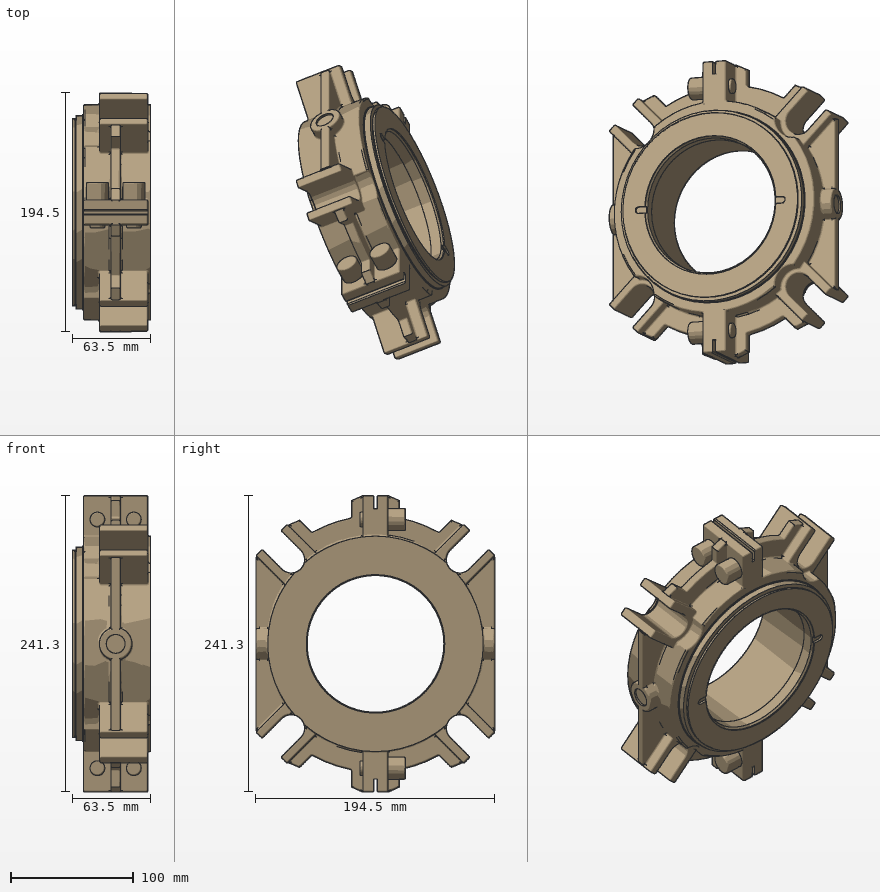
import cadquery as cq
import math

OVERALL_LENGTH = 63.5
OVERALL_WIDTH = 194.46
OVERALL_HEIGHT = 241.25

RING_FRONT_X = 8.9
RING_RADIUS = 87.6
LUG_BACK_X = 61.4

FACE_DISC_DIAMETER = 152.4
FACE_DISC_THICKNESS = 1.9
NECK_DIAMETER = 149.86
NECK_END_X = 2.9
FLANGE_DIAMETER = 157.48
LIP_HEIGHT = 0.7
LIP_START_X = 8.1
BORE_DIAMETER = 111.12
ENTRY_DIAMETER = 111.25
ENTRY_DEPTH = 11.5
COUNTERBORE_DIAMETER = 114.3
COUNTERBORE_DEPTH = 1.0
ENTRY_CONE_END_X = 2.6
EXIT_CHAMFER = 0.8
KEY_SLOT_WIDTH = 5.4
KEY_SLOT_TIP_RADIUS = 65.3
KEY_SLOT_DEPTH = 1.9

WEB_X = (RING_FRONT_X + LUG_BACK_X) / 2
WEB_THICKNESS = 8.0
WEB_RADIUS = 104.2
WEB_CORNER_Z = 70.4
WEB_CORNER_LAND = 3.0
SHOULDER_HALF_WIDTH = 19.4
SHOULDER_END_Z = 116.5

LUG_FRONT_X = 22.0
LUG_ROOT = 78.0
LUG_TIP = 119.5
LUG_STUB_TIP = 94.0
SLOT_RADIUS = 10.8
SLOT_CENTRE = 96.9
SCALLOP_RADIUS = 15.5
LUG_WEB_HALF_WIDTH = 27.5
LUG_WEB_TIP = 114.7
WEB_STEP = 1.0

BLOCK_HALF_WIDTH = 10.2
SLIT_WIDTH = 2.5
SLIT_DEPTH = 10.6
SLIT_CHAMFER = 1.0
SCREW_PITCH = 29.6
SCREW_Z = 101.1
SCREW_HEAD_DIAMETER = 18.0
SCREW_HEAD_END_Y = 24.4
SCREW_END_DIAMETER = 12.0
SCREW_END_Y = -12.7
SCREW_ROUND = 1.2

BOSS_DIAMETER = 26.5
BOSS_HOLE_DIAMETER = 15.34
BOSS_HOLE_DEPTH = 1.5

EDGE_ROUND = 1.5
TIP_ROUND = 1.0
ROOT_FILLET = 1.5
ROOT_REACH = 2 * ROOT_FILLET
NOTCH_FILLET = 1.5
LUG_ROOT_END = LUG_TIP - WEB_STEP - EDGE_ROUND
TOLERANCE = 0.01

HALF_WIDTH = OVERALL_WIDTH / 2
HALF_HEIGHT = OVERALL_HEIGHT / 2
LUG_HALF_WIDTH = HALF_WIDTH * math.sqrt(2) - LUG_TIP
DIAGONALS = (45, 135, 225, 315)
SIDES = (1, -1)


def section_at(x):
    """Workplane square to the pipe axis, with local axes Y and Z."""
    return cq.Workplane("YZ", origin=(x, 0, 0))


def disc(diameter, start_x, end_x):
    return section_at(start_x).circle(diameter / 2).extrude(end_x - start_x)


def slab(outline, start_x, end_x):
    return section_at(start_x).polyline(outline).close().extrude(end_x - start_x)


def on_diagonals(shape):
    """Copies of a shape built along +Y, turned onto all four diagonals."""
    copies = [shape.val().rotate((0, 0, 0), (1, 0, 0), angle) for angle in DIAGONALS]
    return cq.Workplane(cq.Compound.makeCompound(copies))


def slot_cutter(radius, start_x, end_x):
    reach = 2 * (LUG_TIP - SLOT_CENTRE)
    round_end = section_at(start_x).center(SLOT_CENTRE, 0).circle(radius)
    channel = section_at(start_x).center(SLOT_CENTRE + reach / 2, 0).rect(reach, 2 * radius)
    length = end_x - start_x
    return round_end.extrude(length).union(channel.extrude(length))


def rounded_ring():
    ring = disc(2 * RING_RADIUS, RING_FRONT_X, OVERALL_LENGTH)
    ring = ring.cut(on_diagonals(slot_cutter(SCALLOP_RADIUS, RING_FRONT_X, LUG_FRONT_X)))
    return ring.faces("<X").edges().fillet(EDGE_ROUND)


def lug_bar(tip):
    """Unslotted lug lying along +Y."""
    bar = section_at(LUG_FRONT_X).center((LUG_ROOT + tip) / 2, 0)
    return bar.rect(tip - LUG_ROOT, 2 * LUG_HALF_WIDTH).extrude(LUG_BACK_X - LUG_FRONT_X)


def is_ring_root(edge):
    """True for an edge on the outside of the ring: the foot of an attachment or a scallop corner."""
    ends = (edge.startPoint(), edge.endPoint())
    on_surface = all(abs(math.hypot(end.y, end.z) - RING_RADIUS) < TOLERANCE for end in ends)
    return on_surface and RING_FRONT_X + TOLERANCE < edge.Center().x < OVERALL_LENGTH - TOLERANCE


def make_ring():
    """Ring with the bosses and the stubs of the lugs and clamp blocks blended into it."""
    stub = lug_bar(LUG_STUB_TIP).edges("|Y").fillet(EDGE_ROUND)
    ring = rounded_ring().union(on_diagonals(stub)).union(make_blocks()).union(make_bosses())
    ring = ring.edges().filter(is_ring_root).fillet(ROOT_FILLET)
    clearance = on_diagonals(slot_cutter(SLOT_RADIUS + EDGE_ROUND, LUG_FRONT_X, LUG_BACK_X))
    back_slots = on_diagonals(slot_cutter(SLOT_RADIUS, LUG_BACK_X, OVERALL_LENGTH))
    return ring.cut(clearance, clean=False).cut(back_slots, clean=False)


def make_lugs():
    lug = lug_bar(LUG_TIP).cut(slot_cutter(SLOT_RADIUS, LUG_FRONT_X, LUG_BACK_X))
    lug = lug.faces(">Y").edges("|X").fillet(TIP_ROUND)
    lug = lug.faces("<X or >X").edges().fillet(EDGE_ROUND)
    return on_diagonals(lug)


def is_web_notch(edge):
    """True for the inside corners where the web rim meets a shoulder or a lug stiffener."""
    middle = edge.Center()
    on_rim = abs(math.hypot(middle.y, middle.z) - WEB_RADIUS) < TOLERANCE
    return on_rim and abs(middle.y) < abs(middle.z)


def make_web():
    start_x = WEB_X - WEB_THICKNESS / 2
    end_x = WEB_X + WEB_THICKNESS / 2
    web = disc(2 * WEB_RADIUS, start_x, end_x)
    corner_start_y = HALF_WIDTH - WEB_CORNER_LAND
    web_start = LUG_TIP - WEB_STEP
    for side in SIDES:
        web = web.union(slab(
            [
                (0, 0),
                (side * corner_start_y, WEB_CORNER_Z),
                (side * HALF_WIDTH, WEB_CORNER_Z),
                (side * HALF_WIDTH, -WEB_CORNER_Z),
                (side * corner_start_y, -WEB_CORNER_Z),
            ], start_x, end_x))
        web = web.union(slab(
            [
                (BLOCK_HALF_WIDTH, side * HALF_HEIGHT),
                (SHOULDER_HALF_WIDTH, side * SHOULDER_END_Z),
                (SHOULDER_HALF_WIDTH, 0),
                (-SHOULDER_HALF_WIDTH, 0),
                (-SHOULDER_HALF_WIDTH, side * SHOULDER_END_Z),
                (-BLOCK_HALF_WIDTH, side * HALF_HEIGHT),
            ], start_x, end_x))
    for angle in DIAGONALS:
        side = 1 if angle in (45, 225) else -1
        stiffener = slab(
            [
                (0, 0),
                (web_start, 0),
                (web_start, side * LUG_HALF_WIDTH),
                (LUG_WEB_TIP, side * LUG_WEB_HALF_WIDTH),
                (0, side * LUG_WEB_HALF_WIDTH),
            ], start_x, end_x)
        web = web.union(stiffener.rotate((0, 0, 0), (1, 0, 0), angle))
    limits = section_at(start_x).rect(OVERALL_WIDTH, OVERALL_HEIGHT).extrude(WEB_THICKNESS)
    web = web.intersect(limits)
    web = web.edges("|X").filter(is_web_notch).fillet(NOTCH_FILLET)
    web = web.cut(on_diagonals(slot_cutter(SLOT_RADIUS + EDGE_ROUND, start_x, end_x)))
    return web.faces("<X or >X").edges().fillet(EDGE_ROUND)


def root_section(start, wall):
    """Section of the web's foot on a wall at Z = wall, flared by a fillet along both faces."""
    half = WEB_THICKNESS / 2
    flare = half + ROOT_FILLET
    sag = ROOT_FILLET * (1 - math.sqrt(0.5))
    return (
        cq.Workplane("XZ", origin=(WEB_X, start, wall))
        .moveTo(-flare, 0)
        .threePointArc((-half - sag, sag), (-half, ROOT_FILLET))
        .lineTo(half, ROOT_FILLET)
        .threePointArc((half + sag, sag), (flare, 0))
        .lineTo(flare, -ROOT_FILLET)
        .lineTo(-flare, -ROOT_FILLET)
        .close()
    )


def ring_root():
    foot = root_section(0, RING_RADIUS).revolve(360, (0, -RING_RADIUS), (1, -RING_RADIUS))
    return foot.cut(on_diagonals(slot_cutter(SLOT_RADIUS + EDGE_ROUND, RING_FRONT_X, LUG_BACK_X)))


def straight_root(start, end, wall):
    """Web feet running along +Y on walls at Z = +wall and -wall."""
    foot = root_section(start, wall).extrude(start - end)
    return foot.union(foot.mirror("XY"))


def boss_root():
    """Fillet strips between the web and the bosses."""
    length = OVERALL_WIDTH - 2 * ROOT_REACH
    start = cq.Workplane("XZ", origin=(WEB_X, length / 2, 0))
    plate = start.rect(WEB_THICKNESS, BOSS_DIAMETER + 2 * ROOT_FILLET).extrude(length)
    root = start.circle(BOSS_DIAMETER / 2).extrude(length).union(plate)
    corner_z = math.sqrt(BOSS_DIAMETER**2 - WEB_THICKNESS**2) / 2
    corners = root.edges("|Y").filter(lambda edge: abs(abs(edge.Center().z) - corner_z) < TOLERANCE)
    return corners.fillet(ROOT_FILLET)


def make_web_roots():
    lug_roots = on_diagonals(straight_root(RING_RADIUS, LUG_ROOT_END, LUG_HALF_WIDTH))
    block_root = straight_root(FLANGE_DIAMETER / 2, HALF_HEIGHT - EDGE_ROUND, BLOCK_HALF_WIDTH)
    roots = [ring_root(), boss_root(), lug_roots]
    for angle in (90, 270):
        roots.append(block_root.rotate((0, 0, 0), (1, 0, 0), angle))
    return roots


def make_blocks():
    length = LUG_BACK_X - RING_FRONT_X
    blocks = section_at(RING_FRONT_X).rect(2 * BLOCK_HALF_WIDTH, OVERALL_HEIGHT).extrude(length)
    return blocks.edges().fillet(EDGE_ROUND)


def make_slits():
    depth_z = HALF_HEIGHT - SLIT_DEPTH
    half = SLIT_WIDTH / 2
    slits = cq.Workplane("YZ")
    for side in SIDES:
        slits = slits.add(slab(
            [
                (-half, side * depth_z),
                (half, side * depth_z),
                (half, side * (HALF_HEIGHT - SLIT_CHAMFER)),
                (half + SLIT_CHAMFER, side * HALF_HEIGHT),
                (-half - SLIT_CHAMFER, side * HALF_HEIGHT),
                (-half, side * (HALF_HEIGHT - SLIT_CHAMFER)),
            ], RING_FRONT_X, LUG_BACK_X))
    return slits.combine()


def make_bosses():
    boss_axis = cq.Workplane("XZ", origin=(WEB_X, HALF_WIDTH, 0))
    boss = boss_axis.circle(BOSS_DIAMETER / 2).extrude(OVERALL_WIDTH)
    return boss.faces("<Y or >Y").edges().fillet(EDGE_ROUND)


def make_boss_holes():
    holes = cq.Workplane("XZ")
    for side in SIDES:
        plane = cq.Workplane("XZ", origin=(WEB_X, side * HALF_WIDTH, 0))
        holes = holes.add(plane.circle(BOSS_HOLE_DIAMETER / 2).extrude(side * BOSS_HOLE_DEPTH))
    return holes.combine()


def make_screws():
    screws = cq.Workplane("XZ")
    for x in (WEB_X - SCREW_PITCH / 2, WEB_X + SCREW_PITCH / 2):
        for z in (SCREW_Z, -SCREW_Z):
            head = cq.Workplane("XZ", origin=(x, SCREW_HEAD_END_Y, z)).circle(SCREW_HEAD_DIAMETER / 2)
            head = head.extrude(SCREW_HEAD_END_Y - BLOCK_HALF_WIDTH).faces(">Y").edges().fillet(SCREW_ROUND)
            end = cq.Workplane("XZ", origin=(x, -BLOCK_HALF_WIDTH, z)).circle(SCREW_END_DIAMETER / 2)
            end = end.extrude(-SCREW_END_Y - BLOCK_HALF_WIDTH).faces("<Y").edges().fillet(SCREW_ROUND)
            screws = screws.add(head).add(end)
    return screws.combine()


def insert_body():
    flange_end_x = RING_FRONT_X + ROOT_REACH
    body = disc(FACE_DISC_DIAMETER, 0, FACE_DISC_THICKNESS)
    body = body.union(disc(NECK_DIAMETER, FACE_DISC_THICKNESS, NECK_END_X))
    body = body.union(disc(FLANGE_DIAMETER, NECK_END_X, flange_end_x))
    return body.union(disc(FLANGE_DIAMETER + 2 * LIP_HEIGHT, LIP_START_X, flange_end_x))


def bore_cutter():
    """Stepped bore with a conical lead-in behind the counterbore, and keyways in the insert face."""
    entry_radius = ENTRY_DIAMETER / 2
    bore_radius = BORE_DIAMETER / 2
    counterbore_radius = COUNTERBORE_DIAMETER / 2
    profile = [
        (0, 0),
        (0, counterbore_radius),
        (COUNTERBORE_DEPTH, counterbore_radius),
        (ENTRY_CONE_END_X, entry_radius),
        (ENTRY_DEPTH, entry_radius),
        (ENTRY_DEPTH, bore_radius),
        (OVERALL_LENGTH - EXIT_CHAMFER, bore_radius),
        (OVERALL_LENGTH, bore_radius + EXIT_CHAMFER),
        (OVERALL_LENGTH, 0),
    ]
    bore = cq.Workplane("XY").polyline(profile).close().revolve(360, (0, 0), (1, 0))
    key_slots = section_at(0).slot2D(2 * KEY_SLOT_TIP_RADIUS, KEY_SLOT_WIDTH).extrude(KEY_SLOT_DEPTH)
    return bore.union(key_slots)


def make_casting():
    casting = make_ring()
    for piece in [make_lugs(), make_web(), *make_web_roots()]:
        casting = casting.add(piece)
    casting = casting.combine(clean=False)
    return casting.cut(make_slits(), clean=False).cut(make_boss_holes(), clean=False)


result = make_casting().union(insert_body(), clean=False)
result = result.cut(bore_cutter(), clean=False).union(make_screws(), clean=False)